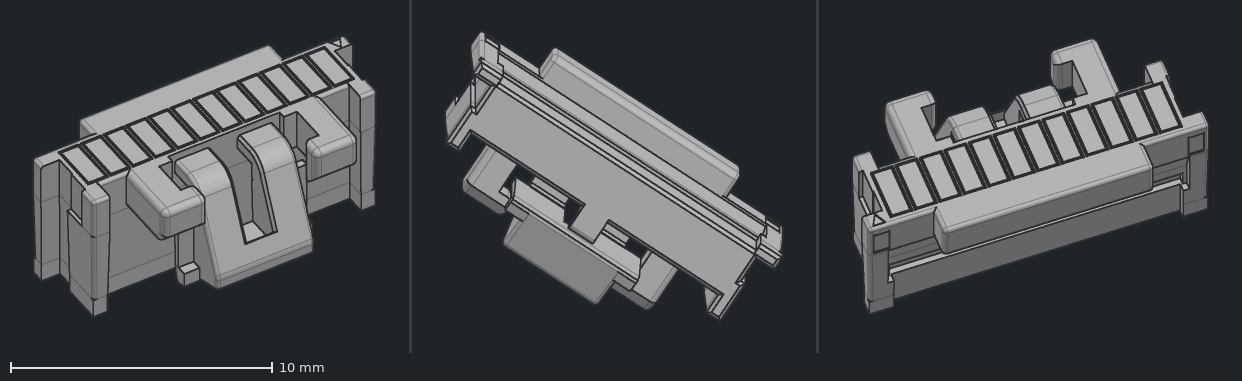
import cadquery as cq
import math

HEIGHT = 6.0
LENGTH = 13.95
DEPTH = 6.85
MID_Y = LENGTH / 2
SMALL_ROUND = 0.17
RIM_ROUND = 0.14
CORNER_ROUND = 0.15

FRONT_X = 1.05
BACK_X = 3.73
HEAD_BOTTOM = 4.23
HEAD_HEIGHT = HEIGHT - HEAD_BOTTOM
HEAD_MID_Z = HEAD_BOTTOM + HEAD_HEIGHT / 2
POST_BACK_X = 1.75
CORE_Y = 6.15
EAR_FRONT_X = 2.69
EAR_BACK_X = 4.57
EAR_OUTER_Y = 6.36
EAR_INNER_Y = 5.6
EAR_RELIEF_Y = 6.19
SKIRT_DRAFT = 0.06
DRAFT_END_Z = 1.0
BOTTOM_CHAMFER = 0.15

BAR_Y = 4.3
BAR_BOTTOM_ROUND = 0.28

RECESS_Y = 6.16
RECESS_TOP_X = 1.15
RECESS_X = 1.4
RECESS_SLOPE_END_Z = 3.19
SLOT_Y = 6.0
SLOT_X = 1.68
SLOT_TOP_Z = 2.68
SLOT_BOTTOM_Z = 1.96
PANEL_Y = 5.91
PANEL_X = 1.42

WINDOW_CENTRE_Y = 6.43
WINDOW_CENTRE_Z = 4.94
WINDOW_WIDTH = 0.64
WINDOW_HEIGHT = 1.19
WINDOW_DEPTH = 0.05

CONTACTS = 12
PITCH = 1.0
CONTACT_FRONT_X = 1.34
CONTACT_BACK_X = 3.53
CONTACT_WIDTH = 0.9
GROOVE_WIDTH = 0.07
GROOVE_DEPTH = 0.1

MARK_FRONT_X = 1.21
MARK_TIP_X = 1.7
MARK_Y = 6.47
MARK_HALF_WIDTH = 0.25
MARK_DEPTH = 0.05

ARM_BACK_X = 6.5
ARM_OUTER_Y = 4.36
ARM_INNER_Y = 3.08
ARM_ROOT_X = 4.04
ARM_ROOT_Y = 2.49
HOOK_X = 5.65
HOOK_TIP_Y = 2.4
ARM_ROUND = 0.28
ARM_BOTTOM_CHAMFER = 0.47
YOKE_FRONT_X = 3.4

LATCH_Y = 2.19
LATCH_TOP = 5.65
LATCH_THICKNESS = 0.6
LATCH_BEND_X = 4.6
LATCH_SLOPE = math.radians(66.6)
LATCH_BEND_RADIUS = 1.0
LEG_TOP_X = 4.8
LEG_HEEL = (4.92, 1.18)
LEG_TOE = (5.02, 0.8)
LEG_FOOT = (5.16, 0.8)
LEG_BACK_BOTTOM_Z = 1.33
LATCH_BACK_ROUND = 0.6
LATCH_BOTTOM_ROUND = 0.2
LATCH_SIDE_ROUND = 0.15
OPENING_Y = 0.6
OPENING_BACK_X = 6.44
OPENING_FLOOR_Z = 2.2
OPENING_BEVEL = 0.12

PEG_Y = 2.87
PEG_WIDTH = 0.32
PEG_FOOT_X = 5.56
PEG_FOOT_TOP = 1.58
PEG_FOOT_BOTTOM = 0.93

STOP_HALF_WIDTH = 0.55
STOP_FRONT_X = 3.4
STOP_BACK_X = 4.68
STOP_TOP = 0.5
STOP_RAMP_X = 4.07
STOP_RAMP_TOP = 1.5
STOP_EDGE_ROUND = 0.18


def box(x0, x1, y0, y1, z0, z1):
    return cq.Workplane("XY").box(x1 - x0, y1 - y0, z1 - z0, centered=False).translate((x0, y0, z0))


def wide_box(x0, x1, half_width, z0, z1):
    return box(x0, x1, -half_width, half_width, z0, z1)


def side_profile(points, half_width):
    """Prism with an XZ outline, centred on Y = 0."""
    return cq.Workplane("XZ").polyline(points).close().extrude(half_width, both=True)


def symmetric_outline(half_points, z):
    """Closed XY outline from its +Y half, listed from front to back."""
    mirrored = [(x, -y) for x, y in reversed(half_points)]
    return cq.Workplane("XY", origin=(0, 0, z)).polyline(half_points + mirrored).close()


def both_sides(solid):
    return solid.union(solid.mirror("XZ"))


def nearest(x, y, z):
    return cq.selectors.NearestToPointSelector((x, y, z))


def body_outline(inset, z):
    """Plan outline of the body with every outer wall moved inwards by inset."""
    half_outline = [
        (FRONT_X + inset, MID_Y - inset),
        (POST_BACK_X - inset, MID_Y - inset),
        (POST_BACK_X - inset, CORE_Y - inset),
        (EAR_FRONT_X + inset, CORE_Y - inset),
        (EAR_FRONT_X + inset, EAR_OUTER_Y - inset),
        (EAR_BACK_X - inset, EAR_OUTER_Y - inset),
        (EAR_BACK_X - inset, EAR_INNER_Y + inset),
        (BACK_X - inset, EAR_INNER_Y + inset),
    ]
    return symmetric_outline(half_outline, z)


def round_outer_corners(solid, z):
    """Round the upright edges of the posts and ears, found near height z."""
    for x, y in ((FRONT_X, MID_Y), (EAR_BACK_X, EAR_OUTER_Y)):
        for side in (1, -1):
            solid = solid.edges(nearest(x, side * y, z)).fillet(CORNER_ROUND)
    return solid


def make_head():
    prism = round_outer_corners(body_outline(0, HEAD_BOTTOM).extrude(HEAD_HEIGHT), HEAD_MID_Z)
    relief = box(EAR_FRONT_X, BACK_X, EAR_RELIEF_Y, MID_Y, HEAD_BOTTOM, HEIGHT)
    head = prism.cut(both_sides(relief))
    top_edges = head.faces(">Z").edges()
    ear_tip_x = (BACK_X + EAR_BACK_X) / 2
    rim = top_edges.edges("<X or >X or <Y or >Y")
    rim = rim.add(top_edges.edges(nearest(BACK_X, 0, HEIGHT)))
    for side in (1, -1):
        rim = rim.add(top_edges.edges(nearest(ear_tip_x, side * EAR_OUTER_Y, HEIGHT)))
    return rim.fillet(RIM_ROUND)


def make_skirt():
    """Drafted walls with a straight, chamfered foot below them."""
    top_wire = body_outline(0, HEAD_BOTTOM).val()
    bottom_wire = body_outline(SKIRT_DRAFT, DRAFT_END_Z).val()
    drafted = cq.Workplane(cq.Solid.makeLoft([bottom_wire, top_wire], True))
    drafted = round_outer_corners(drafted, (HEAD_BOTTOM + DRAFT_END_Z) / 2)
    foot = body_outline(SKIRT_DRAFT, 0).extrude(DRAFT_END_Z)
    foot = foot.faces("<Z").edges().chamfer(BOTTOM_CHAMFER)
    return drafted.union(foot)


def make_front_recess():
    """Recess with a sloped top, a slot deeper in, and the set-back panel below."""
    recess = side_profile(
        [
            (0, HEAD_BOTTOM),
            (RECESS_TOP_X, HEAD_BOTTOM),
            (RECESS_X, RECESS_SLOPE_END_Z),
            (RECESS_X, SLOT_BOTTOM_Z),
            (0, SLOT_BOTTOM_Z),
        ],
        RECESS_Y,
    )
    slot = wide_box(0, SLOT_X, SLOT_Y, SLOT_BOTTOM_Z, SLOT_TOP_Z)
    panel = side_profile(
        [
            (0, 0),
            (PANEL_X + BOTTOM_CHAMFER, 0),
            (PANEL_X, BOTTOM_CHAMFER),
            (PANEL_X, SLOT_BOTTOM_Z),
            (0, SLOT_BOTTOM_Z),
        ],
        PANEL_Y,
    )
    return recess.union(slot).union(panel)


def make_front_windows():
    window = box(
        FRONT_X,
        FRONT_X + WINDOW_DEPTH,
        WINDOW_CENTRE_Y - WINDOW_WIDTH / 2,
        WINDOW_CENTRE_Y + WINDOW_WIDTH / 2,
        WINDOW_CENTRE_Z - WINDOW_HEIGHT / 2,
        WINDOW_CENTRE_Z + WINDOW_HEIGHT / 2,
    )
    return both_sides(window)


def make_contact_grooves():
    length = CONTACT_BACK_X - CONTACT_FRONT_X
    centre_x = (CONTACT_FRONT_X + CONTACT_BACK_X) / 2
    grooves = (
        cq.Workplane("XY", origin=(centre_x, 0, HEIGHT - GROOVE_DEPTH))
        .rarray(PITCH, PITCH, 1, CONTACTS)
        .rect(length, CONTACT_WIDTH)
        .extrude(GROOVE_DEPTH)
    )
    islands = (
        cq.Workplane("XY", origin=(centre_x, 0, HEIGHT - GROOVE_DEPTH))
        .rarray(PITCH, PITCH, 1, CONTACTS)
        .rect(length - 2 * GROOVE_WIDTH, CONTACT_WIDTH - 2 * GROOVE_WIDTH)
        .extrude(GROOVE_DEPTH)
    )
    return grooves.cut(islands)


def make_pin_mark():
    triangle = [
        (MARK_FRONT_X, MARK_Y + MARK_HALF_WIDTH),
        (MARK_TIP_X, MARK_Y),
        (MARK_FRONT_X, MARK_Y - MARK_HALF_WIDTH),
    ]
    return cq.Workplane("XY", origin=(0, 0, HEIGHT)).polyline(triangle).close().extrude(-MARK_DEPTH)


def make_front_bar():
    bar = wide_box(0, POST_BACK_X, BAR_Y, HEAD_BOTTOM, HEIGHT)
    bar = bar.faces("<X").edges("<Z").fillet(BAR_BOTTOM_ROUND)
    front_edges = bar.faces("<X").edges()
    end_edges = bar.faces("<Y or >Y").edges("not >X")
    return front_edges.add(end_edges).fillet(SMALL_ROUND)


def make_guard_arms():
    """Two hooked arms joined by a strip along the back of the body."""
    half_outline = [
        (YOKE_FRONT_X, ARM_OUTER_Y),
        (ARM_BACK_X, ARM_OUTER_Y),
        (ARM_BACK_X, HOOK_TIP_Y),
        (HOOK_X, HOOK_TIP_Y),
        (HOOK_X, ARM_INNER_Y),
        (ARM_ROOT_X, ARM_INNER_Y),
        (ARM_ROOT_X, ARM_ROOT_Y),
        (BACK_X, ARM_ROOT_Y),
    ]
    arms = symmetric_outline(half_outline, HEAD_BOTTOM).extrude(HEAD_HEIGHT)
    arms = arms.faces(">X").edges("<Z").chamfer(ARM_BOTTOM_CHAMFER)
    outer_sides = arms.faces("<Y or >Y").edges("not <X")
    for side in (1, -1):
        tip = arms.faces(nearest((HOOK_X + ARM_BACK_X) / 2, side * HOOK_TIP_Y, HEAD_MID_Z))
        outer_sides = outer_sides.add(tip.edges(">Z or |Z"))
    ends = arms.faces(">X").edges(">Z")
    return outer_sides.add(ends).fillet(ARM_ROUND)


def make_latch():
    bend_end_x = LATCH_BEND_X + LATCH_BEND_RADIUS * math.sin(LATCH_SLOPE)
    bend_end_z = LATCH_TOP - LATCH_BEND_RADIUS * (1 - math.cos(LATCH_SLOPE))
    bend_mid_x = LATCH_BEND_X + LATCH_BEND_RADIUS * math.sin(LATCH_SLOPE / 2)
    bend_mid_z = LATCH_TOP - LATCH_BEND_RADIUS * (1 - math.cos(LATCH_SLOPE / 2))
    slope_end_z = bend_end_z - (DEPTH - bend_end_x) * math.tan(LATCH_SLOPE)
    underside = LATCH_TOP - LATCH_THICKNESS
    latch = (
        cq.Workplane("XZ")
        .moveTo(YOKE_FRONT_X, LATCH_TOP)
        .lineTo(LATCH_BEND_X, LATCH_TOP)
        .threePointArc((bend_mid_x, bend_mid_z), (bend_end_x, bend_end_z))
        .lineTo(DEPTH, slope_end_z)
        .lineTo(DEPTH, LEG_BACK_BOTTOM_Z)
        .lineTo(*LEG_FOOT)
        .lineTo(*LEG_TOE)
        .lineTo(*LEG_HEEL)
        .lineTo(LEG_TOP_X, underside)
        .lineTo(YOKE_FRONT_X, underside)
        .close()
        .extrude(LATCH_Y, both=True)
    )
    latch = latch.edges(nearest(DEPTH, 0, slope_end_z)).fillet(LATCH_BACK_ROUND)
    latch = latch.edges(nearest(DEPTH, 0, LEG_BACK_BOTTOM_Z)).fillet(LATCH_BOTTOM_ROUND)
    slope_middle = ((bend_end_x + DEPTH) / 2, (bend_end_z + slope_end_z) / 2)
    for side in (1, -1):
        slope_edge = latch.edges(nearest(slope_middle[0], side * LATCH_Y, slope_middle[1]))
        latch = slope_edge.fillet(LATCH_SIDE_ROUND)
    latch = latch.union(make_pegs())
    opening = wide_box(BACK_X, OPENING_BACK_X, OPENING_Y, OPENING_FLOOR_Z, HEIGHT)
    latch = latch.cut(opening)
    opening_end_z = slope_end_z + (DEPTH - OPENING_BACK_X) * math.tan(LATCH_SLOPE)
    mouth = latch.edges(nearest(OPENING_BACK_X, 0, opening_end_z))
    for side in (1, -1):
        mouth = mouth.add(latch.edges(nearest(slope_middle[0], side * OPENING_Y, slope_middle[1])))
    return mouth.chamfer(OPENING_BEVEL)


def make_pegs():
    return side_profile(
        [
            (LEG_TOP_X, HEAD_BOTTOM),
            LEG_HEEL,
            LEG_TOE,
            LEG_FOOT,
            (PEG_FOOT_X, PEG_FOOT_BOTTOM),
            (PEG_FOOT_X, PEG_FOOT_TOP),
            (LEG_TOP_X + PEG_WIDTH, PEG_FOOT_TOP),
            (LEG_TOP_X + PEG_WIDTH, HEAD_BOTTOM),
        ],
        PEG_Y,
    )


def make_latch_stop():
    stop = wide_box(STOP_FRONT_X, STOP_BACK_X, STOP_HALF_WIDTH, 0, STOP_TOP)
    stop = stop.faces(">X").edges("|Y").fillet(STOP_EDGE_ROUND)
    ramp = side_profile(
        [
            (STOP_FRONT_X, BOTTOM_CHAMFER),
            (STOP_RAMP_X, BOTTOM_CHAMFER),
            (STOP_RAMP_X, STOP_TOP),
            (BACK_X, STOP_RAMP_TOP),
            (STOP_FRONT_X, STOP_RAMP_TOP),
        ],
        STOP_HALF_WIDTH,
    )
    return stop.union(ramp)


result = make_head().union(make_skirt())
for cavity in (make_front_recess(), make_front_windows(), make_pin_mark()):
    result = result.cut(cavity)
for addition in (make_front_bar(), make_guard_arms(), make_latch(), make_latch_stop()):
    result = result.union(addition)
result = result.cut(make_contact_grooves())